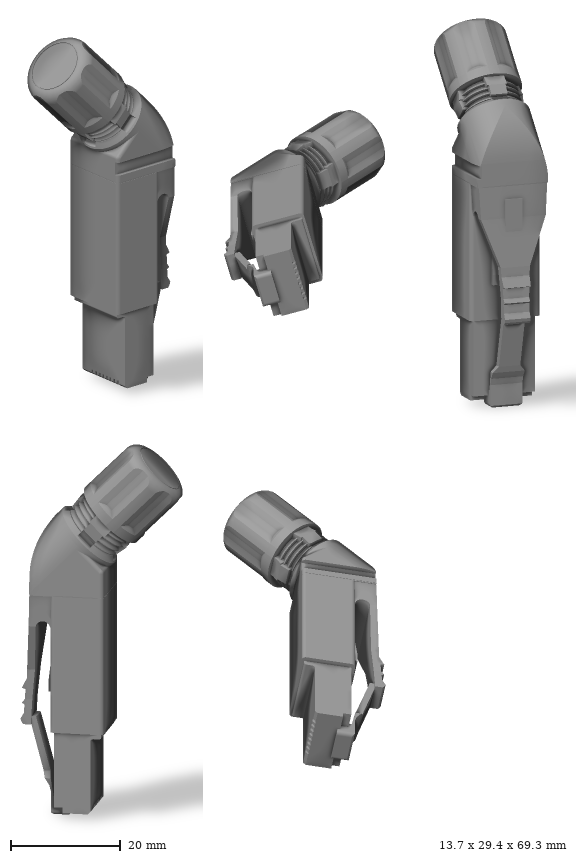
import cadquery as cq
import math


overlap = 0.7

diameter = 13.7
radius = diameter / 2
housing_depth = 9.9
housing_bottom = 16.35
housing_top = 41.9
front_round = 0.7
housing_back_round = 0.8
seam_height = 0.2
seam_depth = 0.1
pivot_z = 46.35
bend_end_length = 0.4
bend_angle = 45
side_notch_bottom = 43.5
side_notch_height = 2.5
side_notch_depth = 0.8

collar_height = 1.0
collar_top_height = 1.95
collar_top_radius = 5.9
neck_radius = 5.05
thread_radius = 5.9
thread_pitch = 1.1
thread_rim = 0.15
thread_count = 4
thread_gap = 0.15
flange_bottom = 6.6
flange_top = 8.4
cap_top = 19.5
cap_round = 2.0
cap_disc_radius = 5.0
cap_ring_width = 0.2
cap_ring_depth = 0.15
flute_count = 7
corner_half_angle = 8.3
flute_depth = 0.3
flute_ledge = 1.0
flute_ledge_rise = 1.45

key_count = 4
key_width = 3.2
key_bottom = 2.7
key_step = 4.65
key_head_top = 5.95
key_foot_radius = 5.95
key_radius = 6.25
key_head_width = 3.9
window_depth = 0.7

plug_width = 12.0
plug_front = 2.5
plug_back = 9.2
plug_bottom = 1.1
plug_edge_round = 0.5
shoulder_front = 0.5
shoulder_bottom = 15.3
shoulder_round = 0.4
shoulder_inner_round = 0.55
contact_count = 8
contact_pitch = 1.02
contact_offset = 0.3
contact_slot_width = 0.5
contact_slot_height = 1.05
contact_slot_depth = 0.55
foot_notch_front = 7.7
foot_notch_top = 2.15

lever_root_z = 36.0
lever_narrow_z = 27.0
lever_tip_z = 21.35
lever_bottom = 16.55
lever_top_width = 13.3
lever_root_width = 12.6
lever_width = 5.7
lever_tip_width = 5.0
lever_root_front = 9.0
lever_root_back = 13.9
lever_narrow_back = 14.9
lever_narrow_front = 13.45
lever_tip_front = 14.0
tooth_back = 15.95
lever_back = 16.2
arch_radius = 1.35
arch_drop = 0.3

rib_width = 3.3
rib_back = 14.2
rib_top = 39.55
rib_bottom = 33.55
rib_inset = 0.6
wedge_width = 5.7
wedge_top = 33.25
wedge_peak_z = 24.95
wedge_bottom = 23.0
wedge_height = 1.05

clip_foot_width = 6.25
clip_arm_width = 4.15
clip_foot_front = 7.15
clip_foot_back = 10.4
clip_foot_round = 0.7
clip_heel_z = 3.2
clip_heel_chamfer = 0.4
clip_waist_z = 5.55
clip_shoulder_z = 6.8
clip_arm_z = 8.0
clip_arm_front = 10.7
clip_arm_back = 12.0
clip_end_front = 13.4
clip_end_back = 14.3
clip_end_z = 17.95

bend_sine = math.sin(math.radians(bend_angle))
bend_cosine = math.cos(math.radians(bend_angle))
tilted = cq.Plane(
    origin=(
        0,
        radius * bend_cosine - bend_end_length * bend_sine,
        pivot_z + radius * bend_sine + bend_end_length * bend_cosine,
    ),
    xDir=(1, 0, 0),
    normal=(0, -bend_sine, bend_cosine),
)


def block(x_range, y_range, z_range):
    """Box between the given limits."""
    size = [high - low for low, high in (x_range, y_range, z_range)]
    corner = (x_range[0], y_range[0], z_range[0])
    return cq.Workplane("XY").box(*size, centered=False).translate(corner)


def side_profile(points, width):
    """Closed (Y, Z) outline extruded to both sides of X = 0."""
    return cq.Workplane("YZ").polyline(points).close().extrude(width / 2, both=True)


def front_taper(sections):
    """Solid of varying width, symmetric about X = 0, from (Z, width) pairs."""
    right_side = [(width / 2, z) for z, width in sections]
    left_side = [(-x, z) for x, z in reversed(right_side)]
    outline = cq.Workplane("XZ").polyline(right_side + left_side).close()
    return outline.extrude(2 * diameter, both=True)


def turned(points):
    """Solid turned about the tilted axis from a (radius, height) outline."""
    outline = cq.Workplane("XY").polyline(points).close()
    return outline.revolve(360, (0, 0, 0), (0, 1, 0)).rotate((0, 0, 0), (1, 0, 0), 90)


def ring(inner, outer, bottom, top):
    """Ring about the tilted axis."""
    return turned([(inner, bottom), (outer, bottom), (outer, top), (inner, top)])


def make_housing():
    body = block((-radius, radius), (0, housing_depth), (housing_bottom, housing_top))
    body = body.edges("|Z and <Y").fillet(front_round)
    return body.edges("|Z and >Y").fillet(housing_back_round)


def make_elbow():
    half_bend = math.radians(bend_angle / 2)
    arc_middle = (diameter * math.cos(half_bend), pivot_z + diameter * math.sin(half_bend))
    front_corner_z = pivot_z + bend_end_length / bend_cosine
    back_end_y = diameter * bend_cosine - bend_end_length * bend_sine
    back_end_z = pivot_z + diameter * bend_sine + bend_end_length * bend_cosine
    bend = (
        cq.Workplane("YZ")
        .moveTo(0, housing_top)
        .lineTo(0, front_corner_z)
        .lineTo(back_end_y, back_end_z)
        .lineTo(diameter * bend_cosine, pivot_z + diameter * bend_sine)
        .threePointArc(arc_middle, (diameter, pivot_z))
        .lineTo(diameter, housing_top)
        .close()
        .extrude(radius, both=True)
    )
    span = 2 * diameter
    below_axis = cq.Workplane(tilted).rect(2 * span, 2 * span).extrude(-span)
    below_axis = below_axis.intersect(
        cq.Workplane(tilted).center(0, -span).rect(2 * span, 2 * span).extrude(-span)
    )
    square_part = bend.intersect(below_axis)
    pivot_edge = cq.selectors.NearestToPointSelector((0, 0, front_corner_z))
    square_part = square_part.edges("|Z").fillet(front_round)
    square_part = square_part.edges(pivot_edge).fillet(front_round)
    round_part = bend.intersect(cq.Workplane(tilted).circle(radius).extrude(-span))
    elbow = square_part.union(round_part)
    side_notch = block(
        (radius - side_notch_depth, diameter),
        (-overlap, span),
        (side_notch_bottom, side_notch_bottom + side_notch_height),
    )
    seam = block((-radius, radius), (0, diameter), (housing_top, housing_top + seam_height))
    seam = seam.cut(
        block(
            (seam_depth - radius, radius - seam_depth),
            (seam_depth, diameter - seam_depth),
            (housing_top, housing_top + seam_height),
        )
    )
    return elbow.cut(side_notch).cut(seam)


def make_neck():
    neck = turned([
        (0, -overlap),
        (neck_radius, -overlap),
        (neck_radius, 0),
        (radius, 0),
        (radius, collar_height),
        (collar_top_radius, collar_top_height),
        (neck_radius, collar_top_height),
        (neck_radius, flange_bottom),
        (0, flange_bottom),
    ])
    first_thread = collar_top_height + thread_gap
    for index in range(thread_count):
        bottom = first_thread + index * thread_pitch
        thread = turned([
            (neck_radius - overlap, bottom),
            (thread_radius, bottom),
            (thread_radius, bottom + thread_rim),
            (neck_radius, bottom + thread_pitch - thread_gap),
            (neck_radius - overlap, bottom + thread_pitch - thread_gap),
        ])
        neck = neck.union(thread)
    key = (
        cq.Workplane("XZ")
        .polyline([
            (neck_radius - overlap, key_bottom),
            (key_foot_radius, key_bottom),
            (key_radius, key_step),
            (neck_radius - overlap, key_step),
        ])
        .close()
        .extrude(key_width / 2, both=True)
    )
    key_head = (
        cq.Workplane("XZ")
        .polyline([
            (neck_radius - overlap, key_step),
            (key_radius, key_step),
            (key_foot_radius, key_head_top),
            (key_foot_radius, flange_bottom),
            (neck_radius - overlap, flange_bottom),
        ])
        .close()
        .extrude(key_head_width / 2, both=True)
    )
    window = block(
        (neck_radius, radius),
        (-key_width / 2, key_width / 2),
        (collar_top_height - window_depth, key_bottom),
    )
    for index in range(key_count):
        turn = ((0, 0, 0), (0, 0, 1), index * 360 / key_count)
        neck = neck.cut(window.rotate(*turn))
        neck = neck.union(key.rotate(*turn)).union(key_head.rotate(*turn))
    return neck


def fluted_outline():
    """Cross section of the cap: rounded corners joined by shallow flutes."""
    pitch = math.radians(360 / flute_count)
    corner = math.radians(corner_half_angle)
    half_flute = pitch / 2 - corner
    floor_y = radius * math.cos(half_flute) - flute_depth
    floor_x = radius * math.sin(half_flute) / 3
    floor_radius = math.hypot(floor_x, floor_y)
    floor_angle = math.atan2(floor_x, floor_y)

    def polar(distance, angle):
        return (distance * math.cos(angle), distance * math.sin(angle))

    first_corner = math.pi / 2
    outline = cq.Workplane("XY").moveTo(*polar(radius, first_corner - corner))
    for index in range(flute_count):
        middle = first_corner + index * pitch
        next_flute = middle + pitch / 2
        outline = outline.threePointArc(polar(radius, middle), polar(radius, middle + corner))
        outline = outline.lineTo(*polar(floor_radius, next_flute - floor_angle))
        outline = outline.lineTo(*polar(floor_radius, next_flute + floor_angle))
        if index < flute_count - 1:
            outline = outline.lineTo(*polar(radius, middle + pitch - corner))
    return outline.close()


def make_cap():
    blank = cq.Workplane("XY").circle(radius).extrude(cap_top).faces(">Z").edges().fillet(cap_round)
    flutes = fluted_outline().extrude(cap_top).intersect(blank)
    flutes = flutes.cut(cq.Workplane("XY").circle(diameter).extrude(flange_bottom))
    flange = turned([
        (0, flange_bottom),
        (radius, flange_bottom),
        (radius, flange_top),
        (radius - flute_ledge, flange_top + flute_ledge_rise),
        (0, flange_top + flute_ledge_rise),
    ])
    groove = ring(cap_disc_radius - cap_ring_width, cap_disc_radius, cap_top - cap_ring_depth, cap_top)
    return flutes.union(flange).cut(groove)


def make_plug():
    body = block((-plug_width / 2, plug_width / 2), (plug_front, plug_back), (plug_bottom, housing_bottom))
    body = body.edges("<Y and <Z").chamfer(plug_edge_round)
    shoulder = block(
        (-plug_width / 2, plug_width / 2),
        (shoulder_front, plug_back),
        (shoulder_bottom, housing_bottom),
    )
    shoulder = shoulder.edges("<Y and <Z").fillet(shoulder_round)
    foot_notch = block((-radius, radius), (foot_notch_front, plug_back), (plug_bottom, foot_notch_top))
    plug = body.union(shoulder)
    inner_corner = cq.selectors.NearestToPointSelector((0, plug_front, shoulder_bottom))
    plug = plug.edges("|X").edges(inner_corner).fillet(shoulder_inner_round)
    plug = plug.cut(foot_notch)
    for index in range(contact_count):
        middle = contact_offset + (index - (contact_count - 1) / 2) * contact_pitch
        slot = block(
            (middle - contact_slot_width / 2, middle + contact_slot_width / 2),
            (plug_front, plug_front + contact_slot_depth),
            (plug_bottom, plug_bottom + contact_slot_height),
        )
        plug = plug.cut(slot)
    return plug


def make_lever():
    """Release lever hanging from the back of the elbow, with three finger teeth."""
    arch_middle = housing_depth + arch_radius
    upper_tooth = [(15.0, 25.3), (tooth_back, 23.4), (15.25, 23.2)]
    middle_tooth = [(15.4, lever_tip_z), (tooth_back, 20.6), (15.45, 20.2)]
    lower_tooth = [(15.6, 18.65), (lever_back, 17.6), (16.0, 17.0), (15.65, lever_bottom)]
    outer_face = [
        (diameter, housing_top),
        (lever_root_back, lever_root_z),
        (lever_narrow_back, lever_narrow_z),
    ]
    inner_face = [
        (clip_end_back, lever_bottom),
        (lever_tip_front, lever_tip_z),
        (lever_narrow_front, lever_narrow_z),
        (arch_middle + arch_radius, lever_root_z),
        (lever_root_front, lever_root_z),
        (lever_root_front, housing_top),
    ]
    lever = side_profile(outer_face + upper_tooth + middle_tooth + lower_tooth + inner_face, diameter)
    arch = (
        cq.Workplane("YZ")
        .center(arch_middle, lever_root_z - arch_drop)
        .circle(arch_radius)
        .extrude(radius, both=True)
    )
    arch = arch.intersect(block((-radius, radius), (housing_depth, lever_back), (0, housing_top)))
    widths = front_taper([
        (housing_top, lever_top_width),
        (lever_root_z, lever_root_width),
        (lever_narrow_z, lever_width),
        (lever_tip_z, lever_tip_width),
        (0, lever_tip_width),
    ])
    lever = lever.cut(arch).intersect(widths)
    rib = side_profile(
        [
            (rib_back - rib_inset, rib_top),
            (rib_back, rib_top),
            (rib_back, rib_bottom),
            (rib_back - rib_inset, rib_bottom),
        ],
        rib_width,
    )
    return lever.union(rib)


def make_wedge():
    """Wedge on the back of the housing, behind the lever."""
    wedge_back = housing_depth + wedge_height
    return side_profile(
        [
            (housing_depth - overlap, wedge_top),
            (housing_depth, wedge_top),
            (wedge_back, wedge_peak_z),
            (wedge_back, wedge_bottom),
            (housing_depth - overlap, wedge_bottom),
        ],
        wedge_width,
    )


def make_clip():
    """Springy latch running from the foot of the plug up to the lever."""
    foot = [
        (plug_back - clip_heel_chamfer, foot_notch_top),
        (foot_notch_front, foot_notch_top),
        (foot_notch_front, plug_bottom),
        (clip_foot_front, plug_bottom),
        (clip_foot_front, 0),
        (clip_foot_back - clip_heel_chamfer, 0),
        (clip_foot_back, clip_heel_chamfer),
    ]
    back_face = [
        (clip_foot_back, foot_notch_top * 2),
        (10.75, clip_waist_z),
        (11.6, clip_shoulder_z),
        (clip_arm_back, clip_arm_z),
        (clip_end_back, lever_bottom),
        (clip_end_back, clip_end_z),
    ]
    front_face = [
        (clip_end_front, clip_end_z),
        (clip_arm_front, clip_arm_z),
        (9.85, clip_heel_z),
        (plug_back, clip_heel_z),
        (plug_back, foot_notch_top + clip_heel_chamfer),
    ]
    clip = side_profile(foot + back_face + front_face, clip_foot_width)
    clip = clip.edges("|Y and <Z").fillet(clip_foot_round)
    widths = front_taper([
        (0, clip_foot_width),
        (clip_shoulder_z, clip_foot_width),
        (clip_arm_z, clip_arm_width),
        (clip_end_z, clip_arm_width),
    ])
    return clip.intersect(widths)


def place_on_axis(solid):
    return solid.val().moved(cq.Location(tilted))


result = make_housing().union(make_elbow())
result = result.union(place_on_axis(make_neck())).union(place_on_axis(make_cap()))
result = result.union(make_plug()).union(make_lever()).union(make_wedge()).union(make_clip())